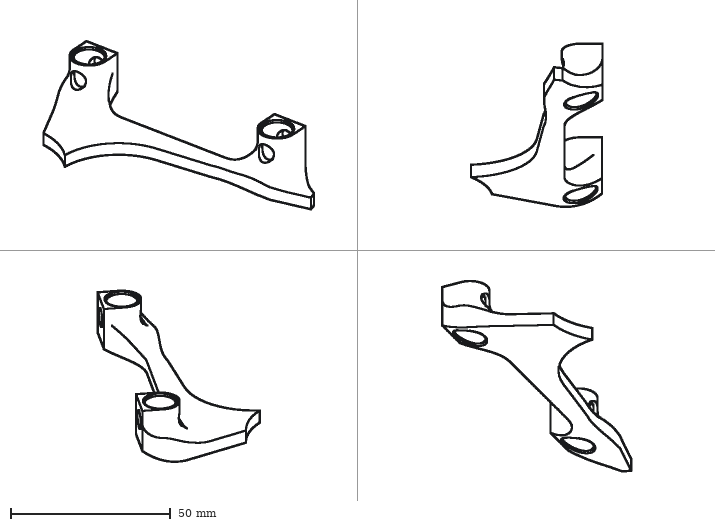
import cadquery as cq
import math

total_height = 18.2
plate_thickness = 4.3

pitch_angle = 32.4
post_pitch = 74.1
post_radius = 6.1
post_back = 6.7
flare_radius = 9.5
flare_top = plate_thickness + flare_radius
flare_reach = post_radius + flare_radius

bore_radius = 4.8
bore_chamfer = 0.6
cross_hole_radius = 3.0
cross_hole_height = 12.3

neck_radius = 10.9
neck_start = 5.7

underside_tangent = -6.9
underside_run = post_back - underside_tangent
underside_radius = (underside_run**2 + plate_thickness**2) / (2 * plate_thickness)

slab_size = 277.7
underside_margin = 27.8

pitch_cos = math.cos(math.radians(pitch_angle))
pitch_sin = math.sin(math.radians(pitch_angle))


def place(u, v):
    """Convert local pitch-line coordinates, measured from the front post, to X and Y."""
    return (u * pitch_cos - v * pitch_sin, u * pitch_sin + v * pitch_cos)


def from_rear_post(x, y):
    """Offset from the axis of the rear post, returned as X and Y."""
    rear_x, rear_y = place(post_pitch, 0)
    return (rear_x + x, rear_y + y)


def outline_prism():
    """Extrude the complete plan outline, including both posts."""
    neck_center_u = post_radius + neck_radius
    neck_end_v = neck_start - neck_radius
    neck_middle_u = neck_center_u - neck_radius * math.sqrt(0.5)
    neck_middle_v = neck_start - neck_radius * math.sqrt(0.5)

    foot_corner = (17.6, -21.8)
    foot_side_end = (-1.6, -9.4)
    arm_bend = (38.8, 8.2)
    tip_edge_start = from_rear_post(11.4, -6.6)
    swept_edge = [
        from_rear_post(3.4, -11.3),
        from_rear_post(-3.3, -15.2),
        from_rear_post(-8.5, -19.35),
    ]
    return (
        cq.Workplane("XY")
        .moveTo(*place(-post_radius, post_back))
        .lineTo(*place(post_radius, post_back))
        .lineTo(*place(post_radius, neck_start))
        .threePointArc(place(neck_middle_u, neck_middle_v), place(neck_center_u, neck_end_v))
        .lineTo(*place(post_pitch - neck_center_u, neck_end_v))
        .threePointArc(
            place(post_pitch - neck_middle_u, neck_middle_v),
            place(post_pitch - post_radius, neck_start),
        )
        .lineTo(*place(post_pitch - post_radius, post_back))
        .lineTo(*place(post_pitch + post_radius, post_back))
        .threePointArc(from_rear_post(9.9, 6.2), from_rear_post(14.8, 5.3))
        .lineTo(*from_rear_post(19.3, 5.3))
        .lineTo(*from_rear_post(21.3, 3.4))
        .lineTo(*tip_edge_start)
        .spline(swept_edge, includeCurrent=True)
        .lineTo(*arm_bend)
        .threePointArc((30.1, -8.7), (32.6, -20.1))
        .threePointArc((25.6, -19.6), foot_corner)
        .lineTo(*foot_side_end)
        .threePointArc((-6.2, -4.2), place(-post_radius, post_back))
        .close()
        .extrude(total_height)
    )


def flare_profile():
    """Half section of a post with its concave flare, from the axis outwards."""
    diagonal = flare_radius * math.sqrt(0.5)
    return (
        cq.Workplane("XZ")
        .lineTo(flare_reach, 0)
        .lineTo(flare_reach, plate_thickness)
        .threePointArc((flare_reach - diagonal, flare_top - diagonal), (post_radius, flare_top))
        .lineTo(post_radius, total_height)
        .lineTo(0, total_height)
        .close()
    )


def flared_post():
    """Post centred on its own axis: round in front, straight-sided up to the back face."""
    half_straight = flare_profile().extrude(-post_back)
    straight = half_straight.union(half_straight.mirror("YZ"))
    return flare_profile().revolve(360, (0, 0), (0, 1)).union(straight)


def post_holes():
    """Vertical bore with a chamfered mouth, and the cross hole through the post."""
    bore = cq.Workplane("XY").circle(bore_radius).extrude(total_height)
    mouth = (
        cq.Workplane("XY", origin=(0, 0, total_height - bore_chamfer))
        .circle(bore_radius)
        .workplane(offset=bore_chamfer)
        .circle(bore_radius + bore_chamfer)
        .loft()
    )
    cross_hole = (
        cq.Workplane("XZ", origin=(0, 0, cross_hole_height))
        .circle(cross_hole_radius)
        .extrude(flare_reach, both=True)
    )
    return bore.union(mouth).union(cross_hole)


def underside_waste():
    """Material under the rounded underside, in the local pitch-line frame."""
    edge_v = underside_tangent + underside_radius
    diagonal = underside_radius * math.sqrt(0.5)
    return (
        cq.Workplane("YZ", origin=(-underside_margin, 0, 0))
        .moveTo(underside_tangent, 0)
        .threePointArc(
            (underside_tangent + diagonal, underside_radius - diagonal),
            (edge_v, underside_radius),
        )
        .lineTo(edge_v, 0)
        .close()
        .extrude(post_pitch + 2 * underside_margin)
    )


def at_posts(shape):
    """Copy a post-centred shape to both post positions in the local frame."""
    return shape.union(shape.translate((post_pitch, 0, 0)))


def to_part(shape):
    """Turn a shape from the local pitch-line frame to the part axes."""
    return shape.rotate((0, 0, 0), (0, 0, 1), pitch_angle)


def slab():
    """Oversized flat plate, later trimmed to the plan outline."""
    return cq.Workplane("XY").box(slab_size, slab_size, plate_thickness, centered=(True, True, False))


stock = slab().union(to_part(at_posts(flared_post())))
body = outline_prism().intersect(stock)
result = body.cut(to_part(underside_waste())).cut(to_part(at_posts(post_holes())))

for post_u in (0, post_pitch):
    axis_x, axis_y = place(post_u, 0)
    mouth_edges = cq.selectors.BoxSelector(
        (axis_x - post_radius, axis_y - post_radius, -bore_chamfer),
        (axis_x + post_radius, axis_y + post_radius, plate_thickness),
        boundingbox=True,
    )
    result = result.edges(mouth_edges).chamfer(bore_chamfer)